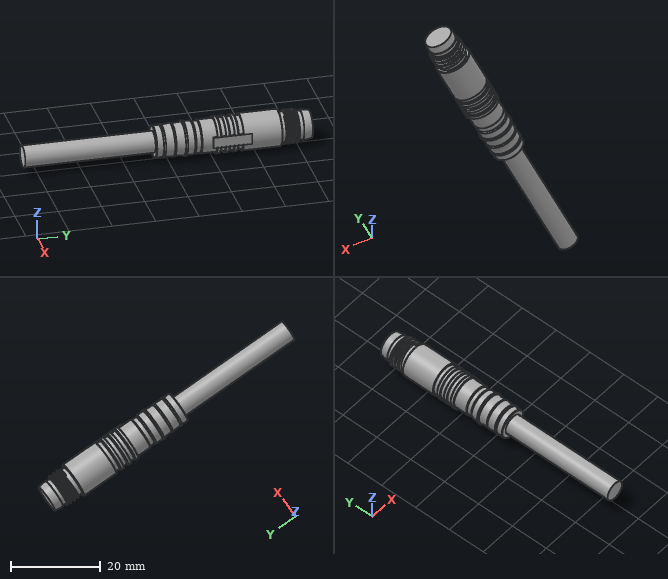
import cadquery as cq
import math

total_length = 66.3
tip_y = total_length / 2

tip_radius = 3.25
nose_radius = 3.3
snap_radius = 3.45
snap_start = 1.45
snap_end = 2.05

core_radius = 3.5
core_start = 3.05
thread_radius = 3.9
thread_pitch = 1.0
thread_start = 3.05
thread_end = 6.3
thread_phase = 3.45
thread_root_width = 0.7
thread_crest_width = 0.1
thread_overlap = 0.05
thread_extra_turns = 2

grip_radius = 4.25
grip_start = 7.2
grip_end = 16.2
grip_chamfer = 0.1
sleeve_radius = 3.85
sleeve_end = 25.85
sleeve_chamfer = 0.2

rib_count = 3
rib_pitch = 2.0
first_rib_start = 17.25
rib_width = 1.0
rib_chamfer = 0.25

pad_start = 14.3
pad_end = 23.2
pad_distance = 4.05
pad_width = 2 * math.sqrt(grip_radius**2 - pad_distance**2)

neck_radius = 3.65
neck_end = 27.0
lip_width = 0.4
barb_radius = 3.85
first_land_radius = 4.05
first_land_start = 29.05
land_width = 0.45
waist_radius = 3.7
second_barb_start = 31.6
second_land_start = 34.1
waist_sag = 0.03
tail_radius = 3.7
tail_end = 36.2
tail_chamfer = 0.1
tail_root_radius = 3.65

cable_radius = 2.5


def at(radius, station):
    """Point of the half profile in the XY plane."""
    return (radius, tip_y - station)


def cylinder(radius, start, end):
    """Round bar about the axis between two stations."""
    plane = cq.Workplane("XZ", origin=(0, tip_y - start, 0))
    return plane.circle(radius).extrude(end - start)


def make_nose():
    """Tip with its snap ring, and the plain core that carries the thread."""
    profile = (
        cq.Workplane("XY")
        .moveTo(*at(0, 0))
        .lineTo(*at(tip_radius, 0))
        .lineTo(*at(snap_radius, snap_start))
        .lineTo(*at(snap_radius, snap_end))
        .lineTo(*at(nose_radius, snap_end))
        .lineTo(*at(nose_radius, core_start))
        .lineTo(*at(core_radius, core_start))
        .lineTo(*at(core_radius, grip_start))
        .lineTo(*at(0, grip_start))
        .close()
    )
    return profile.revolve(360, (0, 0, 0), (0, 1, 0))


def make_thread():
    """Right-hand ridge, trimmed square at both ends of the thread."""
    turns = math.ceil((thread_end - thread_start) / thread_pitch) + 2 * thread_extra_turns
    root_radius = core_radius - thread_overlap
    helix = cq.Wire.makeHelix(thread_pitch, turns * thread_pitch, root_radius)
    ridge = (
        cq.Workplane("XZ")
        .moveTo(root_radius, -thread_root_width / 2)
        .lineTo(thread_radius, -thread_crest_width / 2)
        .lineTo(thread_radius, thread_crest_width / 2)
        .lineTo(root_radius, thread_root_width / 2)
        .close()
        .sweep(cq.Workplane(obj=helix), isFrenet=True)
    )
    first_crest = thread_phase - thread_extra_turns * thread_pitch
    ridge = ridge.rotate((0, 0, 0), (1, 0, 0), 90).translate((0, tip_y - first_crest, 0))
    return ridge.intersect(cylinder(grip_radius, thread_start, thread_end))


def make_grip():
    """Grip, the thinner sleeve behind it and the finger ribs around the sleeve."""
    sleeve = cylinder(sleeve_radius, grip_start, sleeve_end).faces("<Y").chamfer(sleeve_chamfer)
    grip = cylinder(grip_radius, grip_start, grip_end).faces(">Y").chamfer(grip_chamfer)
    body = sleeve.union(grip)
    for index in range(rib_count):
        start = first_rib_start + index * rib_pitch
        rib = cylinder(grip_radius, start, start + rib_width)
        body = body.union(rib.faces(">Y").chamfer(rib_chamfer))
    return body


def add_marker_pad(body):
    """Cut the grip and ribs down to a flat, and fill the gaps up to it."""
    pad_length = pad_end - pad_start
    pad_middle = tip_y - (pad_start + pad_end) / 2
    pad = cq.Workplane("XY").box(pad_distance, pad_length, pad_width)
    pad = pad.translate((pad_distance / 2, pad_middle, 0))
    above_pad = cq.Workplane("XY").box(grip_radius, pad_length, 2 * pad_width)
    above_pad = above_pad.translate((pad_distance + grip_radius / 2, pad_middle, 0))
    return body.union(pad).cut(above_pad)


def make_strain_relief():
    """Neck, two barbs with narrow lands and hollow waists, and the tail."""
    first_land_end = first_land_start + land_width
    second_land_end = second_land_start + land_width
    second_lip_end = second_barb_start + lip_width
    mean_waist_radius = (barb_radius + waist_radius) / 2
    profile = (
        cq.Workplane("XY")
        .moveTo(*at(0, sleeve_end))
        .lineTo(*at(neck_radius, sleeve_end))
        .lineTo(*at(neck_radius, neck_end))
        .lineTo(*at(barb_radius, neck_end + lip_width))
        .lineTo(*at(barb_radius, first_land_start))
        .lineTo(*at(first_land_radius, first_land_start))
        .lineTo(*at(first_land_radius, first_land_end))
        .lineTo(*at(barb_radius, first_land_end))
        .threePointArc(
            at(mean_waist_radius - waist_sag, (first_land_end + second_barb_start) / 2),
            at(waist_radius, second_barb_start),
        )
        .lineTo(*at(barb_radius, second_lip_end))
        .threePointArc(
            at(waist_radius, (second_lip_end + second_land_start) / 2),
            at(waist_radius, second_land_start),
        )
        .lineTo(*at(barb_radius, second_land_start))
        .lineTo(*at(barb_radius, second_land_end))
        .lineTo(*at(tail_root_radius, second_land_end))
        .lineTo(*at(tail_radius, tail_end - tail_chamfer))
        .lineTo(*at(tail_radius - tail_chamfer, tail_end))
        .lineTo(*at(0, tail_end))
        .close()
    )
    return profile.revolve(360, (0, 0, 0), (0, 1, 0))


plug = make_nose().union(make_thread()).union(add_marker_pad(make_grip()))
cable = cylinder(cable_radius, tail_end, total_length)
result = plug.union(make_strain_relief()).union(cable)